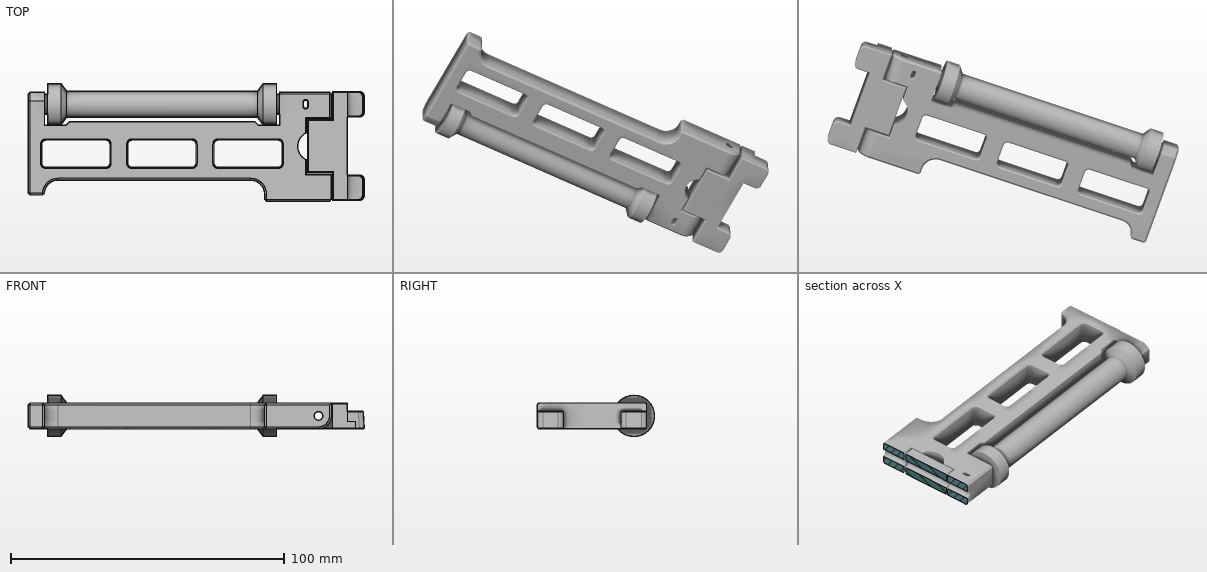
import cadquery as cq

THICKNESS = 9.5
HALF_THICKNESS = THICKNESS / 2
EDGE_CHAMFER = 0.7
ARM_WIDTH = 6.0
FRAME_TOP = 4.4
TIP_SLOPE_LENGTH = 3.2
TIP_SLOPE_DEPTH = 1.8
FOOT_BOTTOM = -33.2
FOOT_RADIUS = 4.9
BAR_TOP = -6.4
BAR_BOTTOM = -27.8
BLOCK_LEFT_LOWER = 86.5
BLOCK_LEFT_UPPER = 92.1
BLOCK_RIGHT = 111.0
BLOCK_RADIUS = 5.2

TUBE_RADIUS = 4.8
WHEEL_DIAMETER = 15.1
WHEEL_RADIUS = WHEEL_DIAMETER / 2
WHEEL_WIDTH = 4.9
CONE_LENGTH = 2.1
PIN_GAP = 1.1
COLLAR_RADIUS = 3.7
PIN_RADIUS = 3.0
PIN_CHAMFER = 0.4
ROLLER_CENTRE = (ARM_WIDTH + BLOCK_LEFT_UPPER) / 2
WHEEL_FACE = ARM_WIDTH + PIN_GAP
CONE_START = WHEEL_FACE + WHEEL_WIDTH
TUBE_START = CONE_START + CONE_LENGTH
TUBE_END = 2 * ROLLER_CENTRE - TUBE_START
OVERALL_WIDTH = 43.1
BLOCK_BOTTOM = WHEEL_RADIUS - OVERALL_WIDTH

RELIEF_DEPTH = 1.2
RELIEF_FLOOR = BAR_TOP - RELIEF_DEPTH
RELIEF_START = 13.9
RELIEF_END = 2 * ROLLER_CENTRE - RELIEF_START

WINDOW_COUNT = 3
WINDOW_LENGTH = 24.9
WINDOW_WIDTH = 9.8
WINDOW_RADIUS = 1.5
WINDOW_PITCH = 31.5
WINDOW_CHAMFER = 0.5
FIRST_WINDOW_X = 17.5
WINDOW_Y = -18.1

NOTCH_LEFT = 101.9
NOTCH_WIDTH = 20.3
NOTCH_Y = -15.4
NOTCH_CHAMFER = 0.4
SCALLOP_RADIUS = 5.4
SCALLOP_X = 104.2
HINGE_X = BLOCK_RIGHT - HALF_THICKNESS
HINGE_HOLE_DIAMETER = 3.1
SLOT_X = 101.6
SLOT_LENGTH = 3.0
SLOT_WIDTH = 1.5
SLOT_CHAMFER = 0.2
ACROSS = 90
BEVEL = 45
FULL_TURN = 360

LATCH_CHAMFER = 0.4
LATCH_Y = -15.3
TONGUE_LEFT = 102.3
TONGUE_WIDTH = 19.3
CROSSBAR_LEFT = 111.4
CROSSBAR_RIGHT = 116.8
CROSSBAR_LENGTH = 39.9
LEDGE_RIGHT = 119.9
LEDGE_TOP = -2.0

PAD_RIGHT = 123.1
PAD_WIDTH = 9.4
PAD_TOP = 1.7
PAD_RADIUS = 1.8
PAD_DRAFT = 0.4
PAD_OFFSET = (CROSSBAR_LENGTH - PAD_WIDTH) / 2
PAD_CENTRES = (LATCH_Y - PAD_OFFSET, LATCH_Y + PAD_OFFSET)


def block(x_min, x_max, y_centre, width, z_max=HALF_THICKNESS):
    """A block standing on the bottom plane of the frame, given by its X limits and centreline."""
    return (
        cq.Workplane("XY", origin=((x_min + x_max) / 2, y_centre, -HALF_THICKNESS))
        .rect(x_max - x_min, width)
        .extrude(z_max + HALF_THICKNESS)
    )


def rod_along_x(start, radius, length):
    return cq.Workplane("YZ", origin=(start, 0, 0)).circle(radius).extrude(length)


def at_far_end(body):
    """The same body mirrored to the other end of the roller."""
    return body.mirror("YZ", (ROLLER_CENTRE, 0, 0))


def with_flared_rims(cutter, flare):
    """A through cutter widened at both faces of the frame, so that it leaves chamfered rims."""
    for face in (">Z", "<Z"):
        rim = cutter.faces(face).wires().toPending()
        cutter = rim.workplane().offset2D(flare).extrude(-flare, taper=BEVEL)
    return cutter


def frame_plate():
    """The outer outline with sloped arm tip and broken edges, the roller bay still filled in."""
    plate = (
        cq.Workplane("XY", origin=(0, 0, -HALF_THICKNESS))
        .moveTo(0, FRAME_TOP)
        .lineTo(0, FOOT_BOTTOM)
        .lineTo(ARM_WIDTH, FOOT_BOTTOM)
        .lineTo(ARM_WIDTH, BAR_BOTTOM - FOOT_RADIUS)
        .radiusArc((ARM_WIDTH + FOOT_RADIUS, BAR_BOTTOM), FOOT_RADIUS)
        .lineTo(BLOCK_LEFT_LOWER - BLOCK_RADIUS, BAR_BOTTOM)
        .radiusArc((BLOCK_LEFT_LOWER, BAR_BOTTOM - BLOCK_RADIUS), BLOCK_RADIUS)
        .lineTo(BLOCK_LEFT_LOWER, BLOCK_BOTTOM)
        .lineTo(BLOCK_RIGHT, BLOCK_BOTTOM)
        .lineTo(BLOCK_RIGHT, FRAME_TOP)
        .close()
        .extrude(THICKNESS)
    )
    plate = plate.faces(">X").edges("<Z").fillet(HALF_THICKNESS)
    for side in (1, -1):
        plate = plate.cut(arm_tip_cut(side))
    sharp_tip = cq.selectors.BoxSelector(
        (ARM_WIDTH / 4, FRAME_TOP - ARM_WIDTH, -THICKNESS),
        (ARM_WIDTH * 5 / 4, FRAME_TOP + ARM_WIDTH, THICKNESS),
    )
    broken_edges = cq.selectors.StringSyntaxSelector("not(>X)") - sharp_tip
    return plate.edges(broken_edges).chamfer(EDGE_CHAMFER)


def arm_tip_cut(side):
    """Wedge that slopes the arm tip: side is +1 at the top face and -1 at the bottom."""
    face = side * HALF_THICKNESS
    return (
        cq.Workplane("YZ")
        .moveTo(FRAME_TOP, face)
        .lineTo(FRAME_TOP - TIP_SLOPE_LENGTH, face)
        .lineTo(FRAME_TOP, face - side * TIP_SLOPE_DEPTH)
        .close()
        .extrude(ARM_WIDTH)
    )


def roller_bay():
    """The open space for the roller, with a step down below each wheel."""
    return (
        cq.Workplane("XY", origin=(0, 0, -HALF_THICKNESS))
        .moveTo(ARM_WIDTH, FRAME_TOP)
        .lineTo(ARM_WIDTH, RELIEF_FLOOR)
        .lineTo(RELIEF_START, RELIEF_FLOOR)
        .lineTo(RELIEF_START + RELIEF_DEPTH, BAR_TOP)
        .lineTo(RELIEF_END - RELIEF_DEPTH, BAR_TOP)
        .lineTo(RELIEF_END, RELIEF_FLOOR)
        .lineTo(BLOCK_LEFT_UPPER, RELIEF_FLOOR)
        .lineTo(BLOCK_LEFT_UPPER, FRAME_TOP)
        .close()
        .extrude(THICKNESS)
    )


def window(index):
    x_centre = FIRST_WINDOW_X + index * WINDOW_PITCH
    half_length = WINDOW_LENGTH / 2
    opening = block(x_centre - half_length, x_centre + half_length, WINDOW_Y, WINDOW_WIDTH)
    return with_flared_rims(opening.edges("|Z").fillet(WINDOW_RADIUS), WINDOW_CHAMFER)


def hinge_notch():
    """The square notch for the tongue, left open at the frame's right end."""
    notch = block(NOTCH_LEFT, BLOCK_RIGHT + NOTCH_CHAMFER, NOTCH_Y, NOTCH_WIDTH)
    return with_flared_rims(notch, NOTCH_CHAMFER)


def scallop():
    return (
        cq.Workplane("XY", origin=(SCALLOP_X, NOTCH_Y, -HALF_THICKNESS))
        .circle(SCALLOP_RADIUS)
        .extrude(THICKNESS)
    )


def slot():
    opening = (
        cq.Workplane("XY", origin=(SLOT_X, 0, -HALF_THICKNESS))
        .slot2D(SLOT_LENGTH, SLOT_WIDTH, ACROSS)
        .extrude(THICKNESS)
    )
    return with_flared_rims(opening, SLOT_CHAMFER)


def tab_end_bevel():
    """Wedge that breaks the top end edge of the tab beside the slot."""
    return (
        cq.Workplane("XZ", origin=(0, FRAME_TOP, 0))
        .moveTo(BLOCK_RIGHT, HALF_THICKNESS)
        .lineTo(BLOCK_RIGHT - EDGE_CHAMFER, HALF_THICKNESS)
        .lineTo(BLOCK_RIGHT, HALF_THICKNESS - EDGE_CHAMFER)
        .close()
        .extrude(FRAME_TOP - NOTCH_Y)
    )


def hinge_hole():
    """The hole along Y through both hinge tabs and the tongue."""
    return (
        cq.Workplane("XZ", origin=(HINGE_X, 0, 0))
        .circle(HINGE_HOLE_DIAMETER / 2)
        .extrude(CROSSBAR_LENGTH, both=True)
    )


def make_frame():
    frame = frame_plate().cut(roller_bay())
    for index in range(WINDOW_COUNT):
        frame = frame.cut(window(index))
    pin_hole = rod_along_x(0, PIN_RADIUS, ARM_WIDTH)
    pin_holes = (pin_hole, at_far_end(pin_hole))
    for cutter in (hinge_notch(), scallop(), tab_end_bevel(), hinge_hole(), slot(), *pin_holes):
        frame = frame.cut(cutter)
    return frame


def ledge(y_centre):
    """The shelf of the latch below a pad, with its bottom edges broken along X."""
    shelf = block(CROSSBAR_RIGHT, LEDGE_RIGHT, y_centre, PAD_WIDTH, LEDGE_TOP)
    return shelf.edges("<Z and |X").chamfer(LATCH_CHAMFER)


def make_latch():
    crossbar = block(CROSSBAR_LEFT, CROSSBAR_RIGHT, LATCH_Y, CROSSBAR_LENGTH)
    tongue = block(TONGUE_LEFT, CROSSBAR_RIGHT, LATCH_Y, TONGUE_WIDTH)
    latch = crossbar.union(tongue).faces("|Z").edges("not >X").chamfer(LATCH_CHAMFER)
    for y_centre in PAD_CENTRES:
        latch = latch.union(ledge(y_centre))
    return latch.cut(hinge_hole())


def make_pad(y_centre):
    """A pad that lies on its ledge and wraps round the ledge's end."""
    foot_right = PAD_RIGHT + PAD_DRAFT * LATCH_CHAMFER / (PAD_TOP + HALF_THICKNESS)
    pad = (
        cq.Workplane("XZ", origin=(0, y_centre + PAD_WIDTH / 2, 0))
        .moveTo(CROSSBAR_RIGHT, -HALF_THICKNESS)
        .lineTo(foot_right, -HALF_THICKNESS)
        .lineTo(PAD_RIGHT - PAD_DRAFT, PAD_TOP)
        .lineTo(CROSSBAR_RIGHT, PAD_TOP)
        .close()
        .extrude(PAD_WIDTH)
    )
    pad = pad.faces(">X").edges("not(|Y)").fillet(PAD_RADIUS)
    pad = pad.faces("|Z").edges("not <X").chamfer(LATCH_CHAMFER)
    return pad.cut(block(CROSSBAR_RIGHT, LEDGE_RIGHT, y_centre, PAD_WIDTH, LEDGE_TOP))


def make_tube():
    return rod_along_x(TUBE_START, TUBE_RADIUS, TUBE_END - TUBE_START)


def make_wheel():
    """A wheel that tapers to the tube along a short cone."""
    return (
        cq.Workplane("XY")
        .moveTo(WHEEL_FACE, 0)
        .lineTo(WHEEL_FACE, WHEEL_RADIUS)
        .lineTo(CONE_START, WHEEL_RADIUS)
        .lineTo(TUBE_START, TUBE_RADIUS)
        .lineTo(TUBE_START, 0)
        .close()
        .revolve(FULL_TURN, (0, 0, 0), (1, 0, 0))
    )


def make_pin():
    """A pin flush with the arm's outer face, with a collar between arm and wheel."""
    journal = rod_along_x(0, PIN_RADIUS, ARM_WIDTH).faces("<X").chamfer(PIN_CHAMFER)
    return journal.union(rod_along_x(ARM_WIDTH, COLLAR_RADIUS, PIN_GAP))


frame = make_frame()
latch = make_latch()
pads = [make_pad(y_centre) for y_centre in PAD_CENTRES]
tube = make_tube()
wheels = [make_wheel(), at_far_end(make_wheel())]
pins = [make_pin(), at_far_end(make_pin())]

bodies = [frame, latch, *pads, tube, *wheels, *pins]
result = cq.Compound.makeCompound([body.val() for body in bodies])